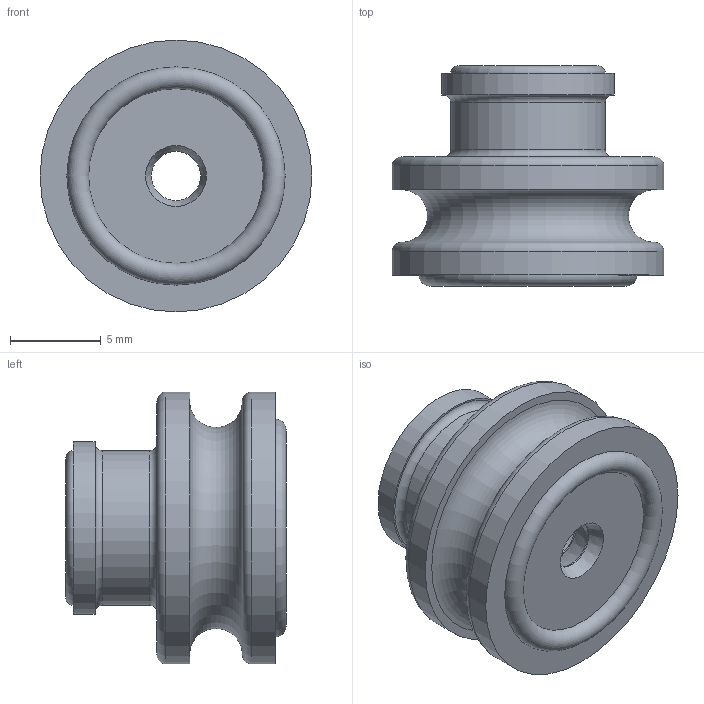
import cadquery as cq
import math


flange_diameter = 14.95
flange_radius = flange_diameter / 2
neck_radius = 4.25
lip_radius = 4.75
bore_throat_radius = 1.35
bead_centre_radius = 5.4

bead_radius = 0.6
front_flange_width = 1.8
groove_width = 2.9
back_flange_width = 1.8
neck_length = 3.4
lip_width = 1.2
end_boss_length = 0.4
bore_taper_length = 0.8
bore_throat_length = 0.08
bore_flare_length = 1.3
bore_cavity_length = 0.08

bore_taper_slope = 0.4
bore_mouth_radius = bore_throat_radius + bore_taper_slope * bore_taper_length
bore_cavity_radius = bore_throat_radius + bore_taper_slope * bore_flare_length

flange_fillet = 0.5
neck_fillet = 0.4
end_fillet = end_boss_length

total_length = (
    bead_radius
    + front_flange_width
    + groove_width
    + back_flange_width
    + neck_length
    + lip_width
    + end_boss_length
)
y_bead_crest = -total_length / 2
y_front_face = y_bead_crest + bead_radius
y_groove_front = y_front_face + front_flange_width
y_groove_back = y_groove_front + groove_width
y_neck_front = y_groove_back + back_flange_width
y_neck_back = y_neck_front + neck_length
y_lip_back = y_neck_back + lip_width
y_back_end = y_lip_back + end_boss_length

groove_radius = groove_width / 2
groove_centre_radius = flange_radius - flange_fillet
groove_floor_radius = groove_centre_radius - groove_radius
y_groove_centre = (y_groove_front + y_groove_back) / 2
bead_inner_radius = bead_centre_radius - bead_radius
bead_outer_radius = bead_centre_radius + bead_radius


def arc_mid(corner_r, corner_y, radius, side_r, side_y):
    """Middle of a quarter arc whose centre is one radius from the corner towards (side_r, side_y)."""
    inset = radius * (1 - math.sqrt(0.5))
    return (corner_r + side_r * inset, corner_y + side_y * inset)


def make_body():
    """Solid of revolution of the outer profile; points are (radius, y)."""
    profile = (
        cq.Workplane("XY")
        .moveTo(0, y_front_face)
        .lineTo(bead_inner_radius, y_front_face)
        .threePointArc((bead_centre_radius, y_bead_crest), (bead_outer_radius, y_front_face))
        .lineTo(flange_radius, y_front_face)
        .lineTo(flange_radius, y_groove_front - flange_fillet)
        .threePointArc(
            arc_mid(flange_radius, y_groove_front, flange_fillet, -1, -1),
            (groove_centre_radius, y_groove_front),
        )
        .threePointArc((groove_floor_radius, y_groove_centre), (groove_centre_radius, y_groove_back))
        .lineTo(flange_radius, y_groove_back)
        .lineTo(flange_radius, y_neck_front - flange_fillet)
        .threePointArc(
            arc_mid(flange_radius, y_neck_front, flange_fillet, -1, -1),
            (flange_radius - flange_fillet, y_neck_front),
        )
        .lineTo(neck_radius + neck_fillet, y_neck_front)
        .threePointArc(
            arc_mid(neck_radius, y_neck_front, neck_fillet, 1, 1),
            (neck_radius, y_neck_front + neck_fillet),
        )
        .lineTo(neck_radius, y_neck_back - neck_fillet)
        .threePointArc(
            arc_mid(neck_radius, y_neck_back, neck_fillet, 1, -1),
            (neck_radius + neck_fillet, y_neck_back),
        )
        .lineTo(lip_radius, y_neck_back)
        .lineTo(lip_radius, y_lip_back)
        .lineTo(neck_radius, y_lip_back)
        .threePointArc(
            arc_mid(neck_radius, y_back_end, end_fillet, -1, -1),
            (neck_radius - end_fillet, y_back_end),
        )
        .lineTo(0, y_back_end)
        .close()
    )
    return profile.revolve(360, (0, 0, 0), (0, 1, 0))


def make_bore():
    """Through bore: tapered mouth, short throat, double-tapered cavity, then a straight run to the back."""
    y_throat_front = y_front_face + bore_taper_length
    y_throat_back = y_throat_front + bore_throat_length
    y_cavity_front = y_throat_back + bore_flare_length
    y_cavity_back = y_cavity_front + bore_cavity_length
    y_straight_start = y_cavity_back + bore_flare_length
    profile = (
        cq.Workplane("XY")
        .moveTo(0, y_front_face)
        .lineTo(bore_mouth_radius, y_front_face)
        .lineTo(bore_throat_radius, y_throat_front)
        .lineTo(bore_throat_radius, y_throat_back)
        .lineTo(bore_cavity_radius, y_cavity_front)
        .lineTo(bore_cavity_radius, y_cavity_back)
        .lineTo(bore_throat_radius, y_straight_start)
        .lineTo(bore_throat_radius, y_back_end)
        .lineTo(0, y_back_end)
        .close()
    )
    return profile.revolve(360, (0, 0, 0), (0, 1, 0))


result = make_body().cut(make_bore())